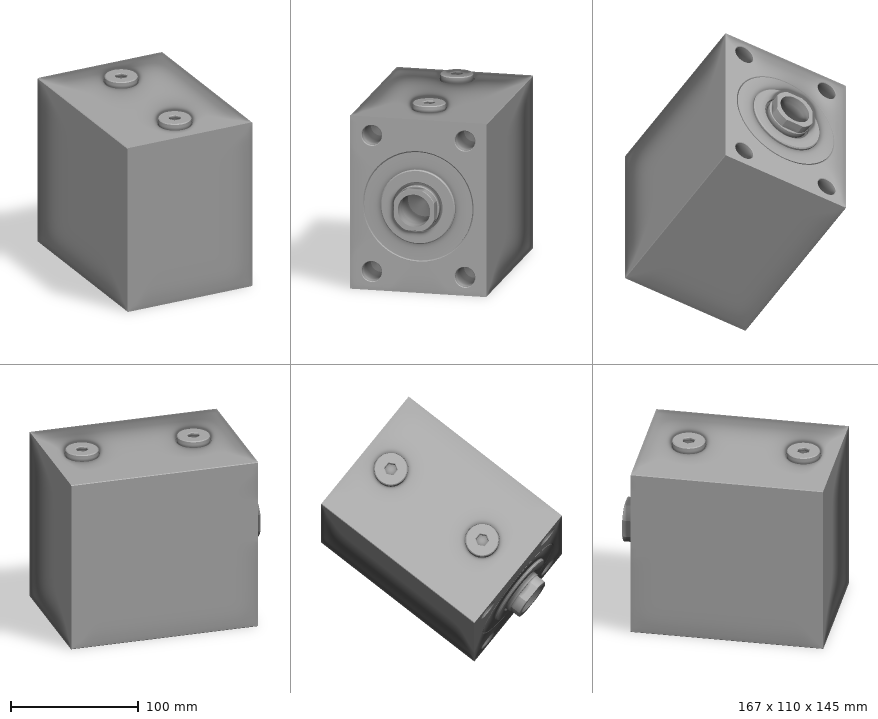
import cadquery as cq
import math

total_length = 167.0
housing_width = 110.0
housing_height = 140.0
rod_overhang = 14.0
housing_length = total_length - rod_overhang
housing_edge_chamfer = 0.5

mount_spacing_y = 75.0
mount_spacing_z = 110.0
mount_diameter = 16.0
mount_chamfer = 0.5
mount_depth = 30.0
drill_point_angle = 118.0

gland_diameter = 87.2
gland_depth = 40.0
gland_seat_chamfer = 1.0
boss_diameter = 60.0
boss_height = 2.5
boss_chamfer = 0.8
wiper_diameter = 39.4
wiper_chamfer = 0.5
wiper_depth = 1.7

rod_diameter = 36.0
rod_chamfer = 0.5
neck_diameter = 35.0
neck_chamfer = 0.3
neck_length = 8.0
neck_across_flats = 32.0
rod_bore_diameter = 26.0
rod_bore_depth = 33.4

plug_positions = (35.9, 127.1)
plug_head_diameter = 26.0
plug_overhang = 5.0
plug_chamfer = 0.7
plug_shank_diameter = 16.7
plug_shank_length = 12.0
spotface_diameter = 28.0
spotface_depth = 0.5
socket_across_flats = 8.7
socket_chamfer = 0.5
socket_depth = 3.0

HEX_SIDES = 6
CHAMFER_ANGLE = 45.0
front_plane = cq.Workplane("YZ")
top_z = housing_height / 2
spotface_z = top_z - spotface_depth


def cylinder_x(diameter, start, end):
    """Cylinder on the rod axis from X = start to X = end."""
    return front_plane.workplane(offset=start).circle(diameter / 2).extrude(end - start)


def cylinder_z(x, diameter, bottom, top):
    """Vertical cylinder at the given X from Z = bottom to Z = top."""
    return cq.Workplane("XY", origin=(x, 0, bottom)).circle(diameter / 2).extrude(top - bottom)


def drilled_hole(diameter, depth, start, y=0.0, z=0.0):
    """Blind hole running in +X from X = start, ending in a drill point."""
    radius = diameter / 2
    tip = radius / math.tan(math.radians(drill_point_angle / 2))
    profile = (
        cq.Workplane("XY", origin=(start, y, z))
        .polyline([(0, 0), (0, radius), (depth, radius), (depth + tip, 0)])
        .close()
    )
    return profile.revolve(360, (0, 0, 0), (1, 0, 0))


def mouth_cone(diameter, chamfer, start, y=0.0, z=0.0):
    """Cutter that chamfers the mouth of a hole entering at X = start."""
    radius = diameter / 2
    profile = (
        cq.Workplane("XY", origin=(start, y, z))
        .polyline([(0, 0), (0, radius + chamfer), (chamfer, radius), (chamfer, 0)])
        .close()
    )
    return profile.revolve(360, (0, 0, 0), (1, 0, 0))


def make_housing():
    housing = (
        cq.Workplane("XY")
        .box(housing_length, housing_width, housing_height, centered=(False, True, True))
        .edges("|X")
        .chamfer(housing_edge_chamfer)
    )
    housing = housing.cut(cylinder_x(gland_diameter, 0, gland_depth))
    housing = housing.cut(mouth_cone(gland_diameter, gland_seat_chamfer, 0))
    for y in (-mount_spacing_y / 2, mount_spacing_y / 2):
        for z in (-mount_spacing_z / 2, mount_spacing_z / 2):
            housing = housing.cut(drilled_hole(mount_diameter, mount_depth, 0, y, z))
            housing = housing.cut(mouth_cone(mount_diameter, mount_chamfer, 0, y, z))
    for x in plug_positions:
        housing = housing.cut(cylinder_z(x, spotface_diameter, spotface_z, top_z))
        shank_end = spotface_z - plug_shank_length
        housing = housing.cut(cylinder_z(x, plug_shank_diameter, shank_end, spotface_z))
    return housing


def make_gland():
    flange = cylinder_x(gland_diameter, 0, gland_depth)
    boss = cylinder_x(boss_diameter, -boss_height, 0).faces("<X").edges().chamfer(boss_chamfer)
    wiper_recess = cylinder_x(wiper_diameter, -boss_height, wiper_depth - boss_height)
    wiper_mouth = mouth_cone(wiper_diameter, wiper_chamfer, -boss_height)
    rod_hole = cylinder_x(rod_diameter, -boss_height, gland_depth)
    return flange.union(boss).cut(wiper_recess).cut(wiper_mouth).cut(rod_hole)


def make_rod():
    neck_end = neck_length - rod_overhang
    shaft = cylinder_x(rod_diameter, neck_end, gland_depth).faces("<X").edges().chamfer(rod_chamfer)
    flats = (
        front_plane.workplane(offset=-rod_overhang)
        .rect(neck_across_flats, neck_across_flats)
        .extrude(neck_length)
    )
    neck = cylinder_x(neck_diameter, -rod_overhang, neck_end).faces("<X").edges().chamfer(neck_chamfer)
    bore = drilled_hole(rod_bore_diameter, rod_bore_depth, -rod_overhang)
    return shaft.union(neck.intersect(flats)).cut(bore)


def hex_pocket(x, top, across_flats, depth, wall_taper=0.0):
    """Hexagonal cutter going down from Z = top, with two corners pointing along Y."""
    corner_diameter = across_flats / math.cos(math.pi / HEX_SIDES)
    return (
        cq.Workplane("XY", origin=(x, 0, top))
        .transformed(rotate=(0, 0, 90))
        .polygon(HEX_SIDES, corner_diameter)
        .extrude(-depth, taper=wall_taper)
    )


def make_plug(x):
    head_top = top_z + plug_overhang
    head = cylinder_z(x, plug_head_diameter, spotface_z, head_top).faces(">Z").edges().chamfer(plug_chamfer)
    shank = cylinder_z(x, plug_shank_diameter, spotface_z - plug_shank_length, spotface_z)
    socket = hex_pocket(x, head_top, socket_across_flats, socket_depth)
    mouth_across_flats = socket_across_flats + 2 * socket_chamfer
    socket_mouth = hex_pocket(x, head_top, mouth_across_flats, socket_chamfer, CHAMFER_ANGLE)
    return head.union(shank).cut(socket).cut(socket_mouth)


housing = make_housing()
gland = make_gland()
rod = make_rod()
plugs = [make_plug(x).val() for x in plug_positions]

result = cq.Compound.makeCompound([housing.val(), gland.val(), rod.val(), *plugs])